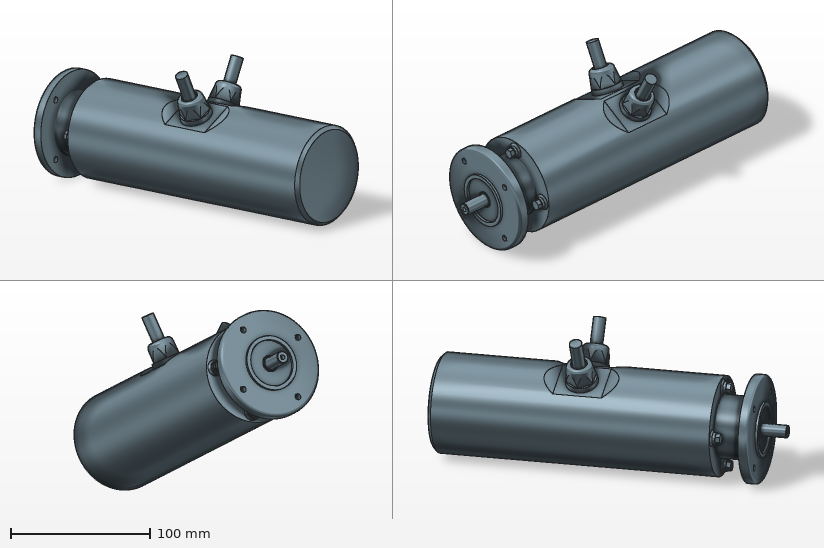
import cadquery as cq
import math


pilot_front = 17.2
flange_front = 19.0
flange_back = 26.3
housing_front = 48.5
housing_back = 258.7
motor_length = 260.0

shaft_dia = 9.0
shaft_chamfer = 0.5
shaft_collar_dia = 11.0
shaft_recess_dia = 12.0
shaft_recess_depth = 1.3
center_hole_dia = 3.5
center_hole_depth = 5.2

flange_dia = 79.0
flange_face_dia = 75.0
flange_hole_dia = 4.5
flange_hole_offset = 22.0
pilot_dia = 40.0
pilot_recess_dia = 34.0
pilot_recess_depth = 2.0
neck_dia = 46.0
neck_front_fillet = 1.8
neck_rear_fillet = 1.0

housing_dia = 73.0
rear_chamfer = 2.5

bolt_count = 4
bolt_circle_radius = 29.5
bolt_head_dia = 7.5
bolt_washer_dia = 8.5
bolt_base_dia = 12.0
bolt_front = 41.9
bolt_washer_front = 45.2
bolt_flare_front = 47.3

gland_x = 149.2
gland_tilt = 27.0
flat_height = 33.3
flat_length = 36.1
ramp_angle = 19.0
gland_base_dia = 24.0
gland_cap_dia = 19.2
gland_flats = 19.5
gland_flats_bottom = 4.0
gland_cap_edge = 14.5
gland_cap_fillet = 3.5
gland_mouth_dia = 12.0
gland_mouth_depth = 2.5
cable_dia = 9.0
cable_length = 37.7


def rod(start, end, diameter):
    """Cylinder on the motor axis from one X station to another."""
    return cq.Workplane("YZ", origin=(start, 0, 0)).circle(diameter / 2).extrude(end - start)


def tilted(shape, angle):
    """Turn a shape built upright about the motor axis."""
    return shape.rotate((0, 0, 0), (1, 0, 0), angle)


def make_housing_barrel():
    """Housing with a chamfered rear rim and a shallow domed rear face."""
    radius = housing_dia / 2
    face_radius = radius - rear_chamfer
    dome_height = motor_length - housing_back
    dome_radius = (face_radius**2 + dome_height**2) / (2 * dome_height)
    mid_radius = face_radius / 2
    mid_x = motor_length - dome_radius + math.sqrt(dome_radius**2 - mid_radius**2)
    return (
        cq.Workplane("XY")
        .moveTo(housing_front, 0)
        .lineTo(housing_front, radius)
        .lineTo(housing_back - rear_chamfer, radius)
        .lineTo(housing_back, face_radius)
        .threePointArc((mid_x, mid_radius), (motor_length, 0))
        .close()
        .revolve(360, (0, 0, 0), (1, 0, 0))
    )


def make_gland_pocket():
    """Upright cutter: level floor with a ramp rising to the surface at each end."""
    depth = housing_dia / 2 - flat_height
    ramp_run = depth / math.tan(math.radians(ramp_angle))
    cut_scale = 2
    top_half = flat_length / 2 + cut_scale * ramp_run
    top_height = flat_height + cut_scale * depth
    return (
        cq.Workplane("XZ")
        .moveTo(gland_x - flat_length / 2, flat_height)
        .lineTo(gland_x + flat_length / 2, flat_height)
        .lineTo(gland_x + top_half, top_height)
        .lineTo(gland_x - top_half, top_height)
        .close()
        .extrude(housing_dia / 2, both=True)
    )


def make_flange():
    """Mounting flange with a rounded front rim, pilot ring and four through holes."""
    rim_fillet = (flange_dia - flange_face_dia) / 2
    flange = (
        rod(flange_front, flange_back, flange_dia)
        .faces("<X")
        .edges()
        .fillet(rim_fillet)
    )
    holes = (
        cq.Workplane("YZ", origin=(flange_front, 0, 0))
        .rect(2 * flange_hole_offset, 2 * flange_hole_offset, forConstruction=True)
        .vertices()
        .circle(flange_hole_dia / 2)
        .extrude(flange_back - flange_front)
    )
    pilot_floor = pilot_front + pilot_recess_depth
    pilot = rod(pilot_front, flange_front, pilot_dia)
    return (
        flange.cut(holes)
        .union(pilot)
        .cut(rod(pilot_front, pilot_floor, pilot_recess_dia))
        .cut(rod(pilot_floor, pilot_floor + shaft_recess_depth, shaft_recess_dia))
    )


def make_neck():
    """Neck between flange and housing, flared by a concave fillet at both ends."""
    radius = neck_dia / 2
    arc_sag = 1 - math.sqrt(0.5)
    front_mid = neck_front_fillet * arc_sag
    rear_mid = neck_rear_fillet * arc_sag
    return (
        cq.Workplane("XY")
        .moveTo(flange_back, 0)
        .lineTo(flange_back, radius + neck_front_fillet)
        .threePointArc(
            (flange_back + front_mid, radius + front_mid),
            (flange_back + neck_front_fillet, radius),
        )
        .lineTo(housing_front - neck_rear_fillet, radius)
        .threePointArc(
            (housing_front - rear_mid, radius + rear_mid),
            (housing_front, radius + neck_rear_fillet),
        )
        .lineTo(housing_front, 0)
        .close()
        .revolve(360, (0, 0, 0), (1, 0, 0))
    )


def make_shaft():
    """Shaft with a bevelled tip, a collar at its root and a center hole."""
    collar_front = pilot_front + pilot_recess_depth
    shaft = rod(0, flange_back, shaft_dia).faces("<X").chamfer(shaft_chamfer)
    collar = rod(collar_front, flange_back, shaft_collar_dia)
    return shaft.union(collar).cut(rod(0, center_hole_depth, center_hole_dia))


def make_bolt(angle):
    """Hex bolt on the housing front, one pair of flats facing the motor axis."""
    head = (
        cq.Workplane("YZ", origin=(bolt_front, 0, 0))
        .polygon(6, bolt_head_dia)
        .extrude(bolt_washer_front - bolt_front)
    )
    washer = rod(bolt_washer_front, bolt_flare_front, bolt_washer_dia)
    flare = (
        cq.Workplane("YZ", origin=(bolt_flare_front, 0, 0))
        .circle(bolt_washer_dia / 2)
        .workplane(offset=housing_front - bolt_flare_front)
        .circle(bolt_base_dia / 2)
        .loft()
    )
    bolt = head.union(washer).union(flare).translate((0, 0, bolt_circle_radius))
    return tilted(bolt, angle)


def make_motor():
    """Housing, neck, flange, shaft and bolts as one solid."""
    motor = make_housing_barrel()
    for side in (-1, 1):
        motor = motor.cut(tilted(make_gland_pocket(), side * gland_tilt))
    motor = motor.union(make_neck()).union(make_flange()).union(make_shaft())
    for index in range(bolt_count):
        motor = motor.union(make_bolt(index * 360 / bolt_count))
    return motor


def make_gland(angle):
    """Tapered gland with hex flats and a rounded cap, with its cable standing in the mouth."""
    base_radius = gland_base_dia / 2
    cap_radius = gland_cap_dia / 2
    cap_top = gland_cap_edge + gland_cap_fillet
    fillet_inset = gland_cap_fillet * (1 - math.sqrt(0.5))
    body = (
        cq.Workplane("XZ")
        .lineTo(base_radius, 0)
        .lineTo(cap_radius, gland_cap_edge)
        .threePointArc(
            (cap_radius - fillet_inset, cap_top - fillet_inset),
            (cap_radius - gland_cap_fillet, cap_top),
        )
        .lineTo(0, cap_top)
        .close()
        .revolve(360, (0, 0, 0), (0, 1, 0))
    )
    flats_height = gland_cap_edge - gland_flats_bottom
    hexagon = (
        cq.Workplane("XY", origin=(0, 0, gland_flats_bottom))
        .polygon(6, gland_flats / math.cos(math.pi / 6))
        .extrude(flats_height)
        .rotate((0, 0, 0), (0, 0, 1), 30)
    )
    outside_hexagon = (
        cq.Workplane("XY", origin=(0, 0, gland_flats_bottom))
        .circle(gland_base_dia)
        .extrude(flats_height)
        .cut(hexagon)
    )
    mouth_floor = cap_top - gland_mouth_depth
    mouth = (
        cq.Workplane("XY", origin=(0, 0, mouth_floor))
        .circle(gland_mouth_dia / 2)
        .extrude(gland_mouth_depth)
    )
    cable = cq.Workplane("XY").circle(cable_dia / 2).extrude(cable_length)
    gland = body.cut(outside_hexagon).cut(mouth).union(cable)
    return tilted(gland.translate((gland_x, 0, flat_height)), angle)


motor = make_motor()
glands = [make_gland(side * gland_tilt) for side in (-1, 1)]

result = cq.Compound.makeCompound([motor.val(), *[gland.val() for gland in glands]])